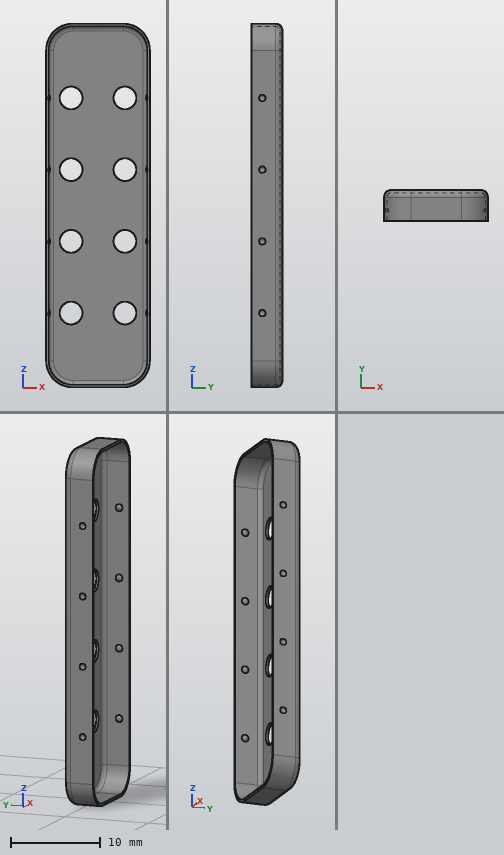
import cadquery as cq
import math

length = 40.6
width = 11.6
depth = 3.5
wall = 0.3
corner_radius = 3.0
outer_edge_radius = 0.8
inner_edge_radius = outer_edge_radius - wall

hole_diameter = 2.5
hole_columns = 2
hole_rows = 4
column_pitch = 6.0
row_pitch = 8.0

detent_from_rim = 1.2
dimple_diameter = 0.75
dimple_depth = 0.15
bump_diameter = 0.8
bump_height = 0.15

rim_y = -depth / 2
floor_y = depth / 2
detent_y = rim_y + detent_from_rim
row_heights = [(row - (hole_rows - 1) / 2) * row_pitch for row in range(hole_rows)]


def rounded_block(inset, back_y, back_radius):
    """Rounded-rectangle block from the rim to back_y, with its back edge filleted."""
    return (
        cq.Workplane("XZ", origin=(0, rim_y, 0))
        .rect(width - 2 * inset, length - 2 * inset)
        .extrude(rim_y - back_y)
        .edges("|Y")
        .fillet(corner_radius - inset)
        .faces(">Y")
        .edges()
        .fillet(back_radius)
    )


def inward_cap(diameter, height, base_x, side, z):
    """Spherical cap on the wall plane at base_x, rising towards the tray centre."""
    base_radius = diameter / 2
    sphere_radius = (base_radius**2 + height**2) / (2 * height)
    sphere_centre = height - sphere_radius
    arc_middle_height = sphere_centre + math.sqrt(sphere_radius**2 - (base_radius / 2) ** 2)
    return (
        cq.Workplane("XZ", origin=(side * base_x, detent_y, z))
        .moveTo(0, 0)
        .lineTo(0, base_radius)
        .threePointArc((-side * arc_middle_height, base_radius / 2), (-side * height, 0))
        .close()
        .revolve(360, (0, 0), (1, 0))
    )


def add_detent(body, side, z):
    """Press a dimple into the outer wall face and raise a matching bump inside."""
    bump = inward_cap(bump_diameter, bump_height, width / 2 - wall, side, z)
    dimple = inward_cap(dimple_diameter, dimple_depth, width / 2, side, z)
    return body.union(bump).cut(dimple)


tray = rounded_block(0, floor_y, outer_edge_radius).cut(
    rounded_block(wall, floor_y - wall, inner_edge_radius)
)

holes = (
    cq.Workplane("XZ", origin=(0, floor_y, 0))
    .rarray(column_pitch, row_pitch, hole_columns, hole_rows)
    .circle(hole_diameter / 2)
    .extrude(depth)
)
tray = tray.cut(holes)

for row_z in row_heights:
    for wall_side in (-1, 1):
        tray = add_detent(tray, wall_side, row_z)

result = tray